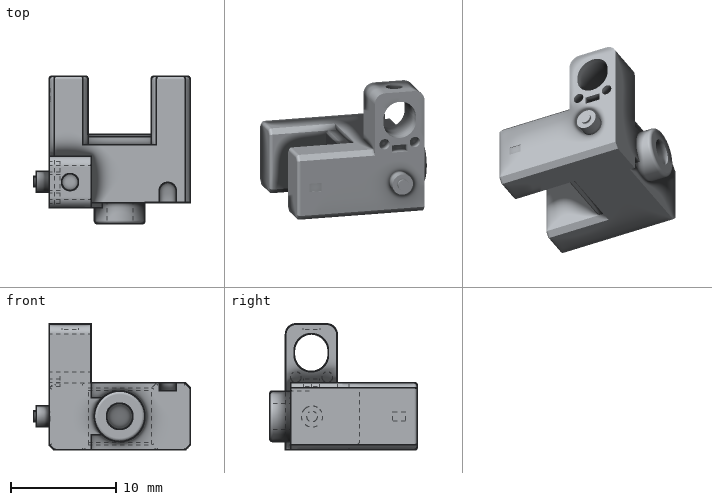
import cadquery as cq

body_width = 13.4
body_height = 6.39
body_front = 0.5
body_back = 12.5
edge_chamfer = 0.49
back_fillet = 0.31

slot_width = 5.98
slot_end = 6.0
ledge_end = 6.98
ledge_drop = edge_chamfer
ledge_chamfer = 0.22

tower_width = 3.98
tower_depth = 4.9
tower_height = 11.95
tower_fillet = 1.01
top_hole_diameter = 1.6
top_hole_depth = 0.5

opening_width = 3.21
opening_height = 3.56
opening_z = 9.22
round_pocket_diameter = 1.01
round_pocket_spacing = 2.98
round_pocket_z = 6.93
window_width = 1.53
window_height = 0.71
window_z = 6.42
pocket_depth = 1.0

mark_width = 1.2
mark_height = 0.82
mark_y = 10.74
mark_depth = 0.06

pin_diameter = 2.0
pin_y = 2.5
pin_length = 1.23
tip_diameter = 1.01
tip_length = 0.22

boss_diameter = 4.8
boss_front = -1.5
boss_fillet = 0.31
boss_hole_diameter = 2.5
pad_height = 3.47

notch_width = 1.6
notch_x = 11.25
notch_arc_y = 1.62
notch_depth = 0.75

body_center_x = body_width / 2
body_center_z = body_height / 2
tower_center_x = tower_width / 2
tower_center_y = tower_depth / 2


def box(x_range, y_range, z_range):
    """Axis-aligned box between the given limits."""
    corner = (x_range[0], y_range[0], z_range[0])
    sizes = [limits[1] - limits[0] for limits in (x_range, y_range, z_range)]
    return cq.Workplane("XY").box(*sizes, centered=False).translate(corner)


def left_plane(y, z):
    """Plane of the left side, facing +X with local axes along Y and Z, centred at the given point."""
    return cq.Workplane("YZ", origin=(0, y, z))


def front_plane(y):
    """Plane facing -Y on the boss axis."""
    return cq.Workplane("XZ", origin=(body_center_x, y, body_center_z))


def make_arm(x_start, x_end):
    """Fork arm: a bar bevelled on its long edges and rounded at its free end."""
    arm = box((x_start, x_end), (body_front, body_back), (0, body_height))
    arm = arm.edges("|Y").chamfer(edge_chamfer)
    return arm.faces(">Y").edges().fillet(back_fillet)


def make_bridge(arm_width):
    """Block joining the arms, with a lower ledge at the closed end of the slot."""
    bridge = box((0, body_width), (body_front, slot_end), (0, body_height))
    bridge = bridge.edges("|Y").chamfer(edge_chamfer)
    ledge = box(
        (arm_width, arm_width + slot_width),
        (body_front, ledge_end),
        (ledge_drop, body_height - ledge_drop),
    )
    ledge = ledge.faces(">Y").edges("|X").chamfer(ledge_chamfer)
    return bridge.union(ledge)


def make_body():
    arm_width = (body_width - slot_width) / 2
    body = make_bridge(arm_width)
    for x_start in (0, body_width - arm_width):
        body = body.union(make_arm(x_start, x_start + arm_width))
    return body


def make_tower():
    tower = box((0, tower_width), (0, tower_depth), (0, tower_height))
    tower = tower.edges("|X and >Z").fillet(tower_fillet)
    return tower.edges("|Y and <X and <Z").chamfer(edge_chamfer)


def make_pin():
    collar = left_plane(pin_y, body_center_z).circle(pin_diameter / 2).extrude(-pin_length)
    tip = left_plane(pin_y, body_center_z).circle(tip_diameter / 2)
    return collar.union(tip.extrude(-pin_length - tip_length))


def make_boss():
    boss = front_plane(body_front).circle(boss_diameter / 2).extrude(body_front - boss_front)
    boss = boss.faces("<Y").edges().fillet(boss_fillet)
    pad = box(
        (tower_width, body_center_x),
        (0, body_front),
        (body_center_z - pad_height / 2, body_center_z + pad_height / 2),
    )
    return boss.union(pad)


def make_boss_hole():
    """Blind hole that ends level with the front of the body."""
    return front_plane(body_front).circle(boss_hole_diameter / 2).extrude(body_front - boss_front)


def make_tower_cuts():
    opening = left_plane(tower_center_y, opening_z).slot2D(opening_height, opening_width, 90)
    cuts = opening.extrude(tower_width)
    for side in (-1, 1):
        pocket_y = tower_center_y + side * round_pocket_spacing / 2
        pocket = left_plane(pocket_y, round_pocket_z).circle(round_pocket_diameter / 2)
        cuts = cuts.union(pocket.extrude(pocket_depth))
    window = left_plane(tower_center_y, window_z).rect(window_width, window_height)
    cuts = cuts.union(window.extrude(pocket_depth))
    top_hole = cq.Workplane("XY", origin=(tower_center_x, tower_center_y, tower_height))
    return cuts.union(top_hole.circle(top_hole_diameter / 2).extrude(-top_hole_depth))


def make_mark():
    return left_plane(mark_y, body_center_z).rect(mark_width, mark_height).extrude(mark_depth)


def make_notch():
    bottom = body_height - notch_depth
    round_end = cq.Workplane("XY", origin=(notch_x, notch_arc_y, bottom))
    round_end = round_end.circle(notch_width / 2).extrude(notch_depth)
    straight = box(
        (notch_x - notch_width / 2, notch_x + notch_width / 2),
        (body_front, notch_arc_y),
        (bottom, body_height),
    )
    return round_end.union(straight)


result = make_body()
for addition in (make_tower(), make_pin(), make_boss()):
    result = result.union(addition)
for removal in (make_boss_hole(), make_tower_cuts(), make_mark(), make_notch()):
    result = result.cut(removal)